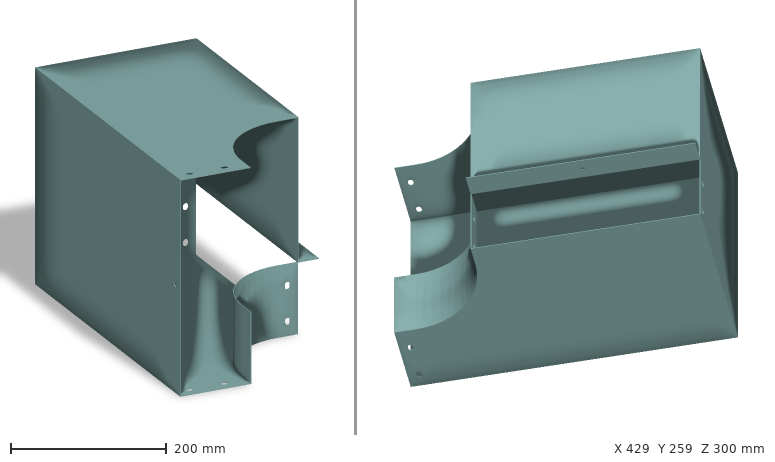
import cadquery as cq
import math

LENGTH = 429.0
HEIGHT = 300.0
SHEET = 1.0

LEG_WIDTH = 300.5
LEG_DEPTH = 100.0
BODY_DEPTH = 229.0
ARC_RADIUS = 100.0
ARC_CENTER_X = LEG_WIDTH + ARC_RADIUS
ARC_CENTER_Y = LEG_DEPTH + ARC_RADIUS

OPENING_HEIGHT = 100.0
TOTAL_DEPTH = 259.0
FLANGE_HOLE_DIAMETER = 5.0
FLANGE_HOLE_INSET = 15.0
FLANGE_WIDTH = LEG_WIDTH + SHEET

FRONT_HOLE_DIAMETER = 5.0
FRONT_COUNTERSINK_DIAMETER = 7.0
JOINT_HOLE_INSET = 15.0
SLOT_WIDTH = 7.5
SLOT_LENGTH = 10.0
SLOT_POSITIONS = (20.0, 70.0)


def plan_solid(thickness, offset=0):
    """Full plan outline with its inner corner moved outward by offset."""
    arc_radius = ARC_RADIUS - offset
    arc_reach = arc_radius * math.sqrt(0.5)
    return (
        cq.Workplane("XY")
        .moveTo(0, 0)
        .lineTo(LENGTH, 0)
        .lineTo(LENGTH, LEG_DEPTH + offset)
        .lineTo(ARC_CENTER_X, LEG_DEPTH + offset)
        .threePointArc(
            (ARC_CENTER_X - arc_reach, ARC_CENTER_Y - arc_reach),
            (LEG_WIDTH + offset, ARC_CENTER_Y),
        )
        .lineTo(LEG_WIDTH + offset, BODY_DEPTH)
        .lineTo(0, BODY_DEPTH)
        .close()
        .extrude(thickness)
    )


def box(x_range, y_range, z_range):
    """Axis-aligned block spanning the given ranges."""
    spans = (x_range, y_range, z_range)
    sizes = [high - low for low, high in spans]
    corner = [low for low, high in spans]
    return cq.Workplane("XY").box(*sizes, centered=False).translate(corner)


def make_walls():
    """Top and bottom plates with the flat front, left and rear walls."""
    bottom = plan_solid(SHEET)
    top = bottom.translate((0, 0, HEIGHT - SHEET))
    front = box((0, LENGTH), (0, SHEET), (0, HEIGHT))
    left = box((0, SHEET), (0, BODY_DEPTH), (0, HEIGHT))
    rear = box(
        (0, FLANGE_WIDTH), (BODY_DEPTH, BODY_DEPTH + SHEET), (OPENING_HEIGHT - SHEET, HEIGHT)
    )
    return bottom.union(top).union(front).union(left).union(rear)


def make_inner_wall():
    """Curved side wall around the inner corner, as tall as the rear opening."""
    return plan_solid(OPENING_HEIGHT, SHEET).cut(plan_solid(OPENING_HEIGHT))


def make_flange():
    """Horizontal tab running back from the upper edge of the rear opening."""
    flange = box(
        (0, FLANGE_WIDTH),
        (BODY_DEPTH, TOTAL_DEPTH),
        (OPENING_HEIGHT - SHEET, OPENING_HEIGHT),
    )
    hole = (
        cq.Workplane("XY")
        .center(FLANGE_WIDTH / 2, TOTAL_DEPTH - FLANGE_HOLE_INSET)
        .circle(FLANGE_HOLE_DIAMETER / 2)
        .extrude(HEIGHT)
    )
    return flange.cut(hole)


def make_joint_holes():
    """Slot pairs through opposite walls at both ends."""
    right_slots = (
        cq.Workplane("XY")
        .pushPoints([(LENGTH - JOINT_HOLE_INSET, y) for y in SLOT_POSITIONS])
        .slot2D(SLOT_LENGTH, SLOT_WIDTH, 90)
        .extrude(HEIGHT)
    )
    rear_slots = (
        cq.Workplane("YZ")
        .pushPoints([(BODY_DEPTH - JOINT_HOLE_INSET, z) for z in SLOT_POSITIONS])
        .slot2D(SLOT_LENGTH, SLOT_WIDTH, 90)
        .extrude(LENGTH)
    )
    return right_slots.union(rear_slots)


def make_front_hole():
    """Countersunk hole through the front wall, wide end outside."""
    return (
        cq.Workplane("XZ")
        .center(LENGTH - JOINT_HOLE_INSET, HEIGHT / 2)
        .circle(FRONT_COUNTERSINK_DIAMETER / 2)
        .workplane(offset=-SHEET)
        .circle(FRONT_HOLE_DIAMETER / 2)
        .loft()
    )


shell = make_walls().union(make_inner_wall()).union(make_flange())
result = shell.cut(make_joint_holes()).cut(make_front_hole())